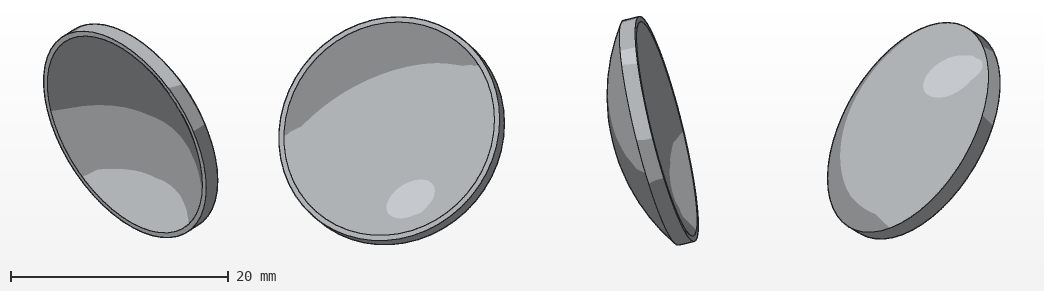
import cadquery as cq
import math

outer_diameter = 21.3
total_height = 5.0
rim_height = 1.5
rim_width = 0.5
wall_thickness = 1.5

outer_radius = outer_diameter / 2
hollow_radius = outer_radius - rim_width
dome_height = total_height - rim_height
hollow_depth = total_height - wall_thickness


def cap_arc_midpoint(base_radius, base_y, height):
    """Point (x, y) at half height on a spherical cap's profile arc."""
    sphere_radius = (base_radius**2 + height**2) / (2 * height)
    distance_above_center = sphere_radius - height / 2
    x = math.sqrt(sphere_radius**2 - distance_above_center**2)
    return (x, base_y + height / 2)


def cap_half_section():
    """Closed half section in the XY plane, from the axis to the rim."""
    return (
        cq.Workplane("XY")
        .moveTo(hollow_radius, 0)
        .lineTo(outer_radius, 0)
        .lineTo(outer_radius, rim_height)
        .threePointArc(
            cap_arc_midpoint(outer_radius, rim_height, dome_height),
            (0, total_height),
        )
        .lineTo(0, hollow_depth)
        .threePointArc(
            cap_arc_midpoint(hollow_radius, 0, hollow_depth),
            (hollow_radius, 0),
        )
        .close()
    )


result = cap_half_section().revolve(360, (0, 0, 0), (0, 1, 0))